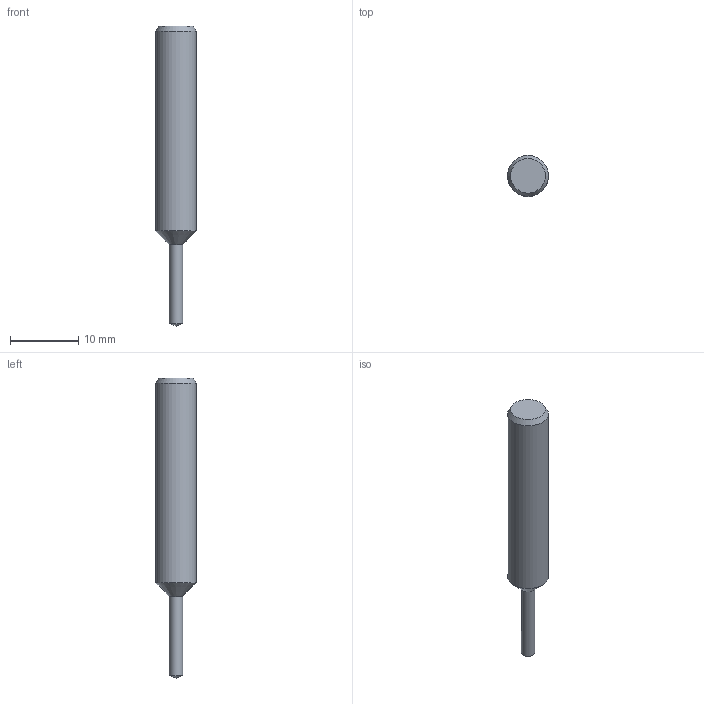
import math
import cadquery as cq

overall_length = 44.0
shank_diameter = 6.0
cutter_diameter = 1.94
point_angle = 140.0
cutter_length = 11.95
taper_half_angle = 45.0
chamfer_height = 0.8
chamfer_half_angle = 30.0

shank_radius = shank_diameter / 2
cutter_radius = cutter_diameter / 2
point_height = cutter_radius / math.tan(math.radians(point_angle / 2))
taper_height = (shank_radius - cutter_radius) / math.tan(math.radians(taper_half_angle))
taper_top = cutter_length + taper_height
chamfer_width = chamfer_height * math.tan(math.radians(chamfer_half_angle))


def revolve_profile(points):
    """Turn a closed half profile of (radius, height) points about the Z axis."""
    return cq.Workplane("XZ").polyline(points).close().revolve(360, (0, 0, 0), (0, 1, 0))


def make_cutter():
    """Slim drill body with a conical point."""
    return revolve_profile([
        (0, 0),
        (cutter_radius, point_height),
        (cutter_radius, cutter_length),
        (0, cutter_length),
    ])


def make_shank():
    """Cylindrical shank, tapered down to the cutter and chamfered at its free end."""
    return revolve_profile([
        (0, cutter_length),
        (cutter_radius, cutter_length),
        (shank_radius, taper_top),
        (shank_radius, overall_length - chamfer_height),
        (shank_radius - chamfer_width, overall_length),
        (0, overall_length),
    ])


cutter = make_cutter()
shank = make_shank()

result = cq.Compound.makeCompound([cutter.val(), shank.val()])